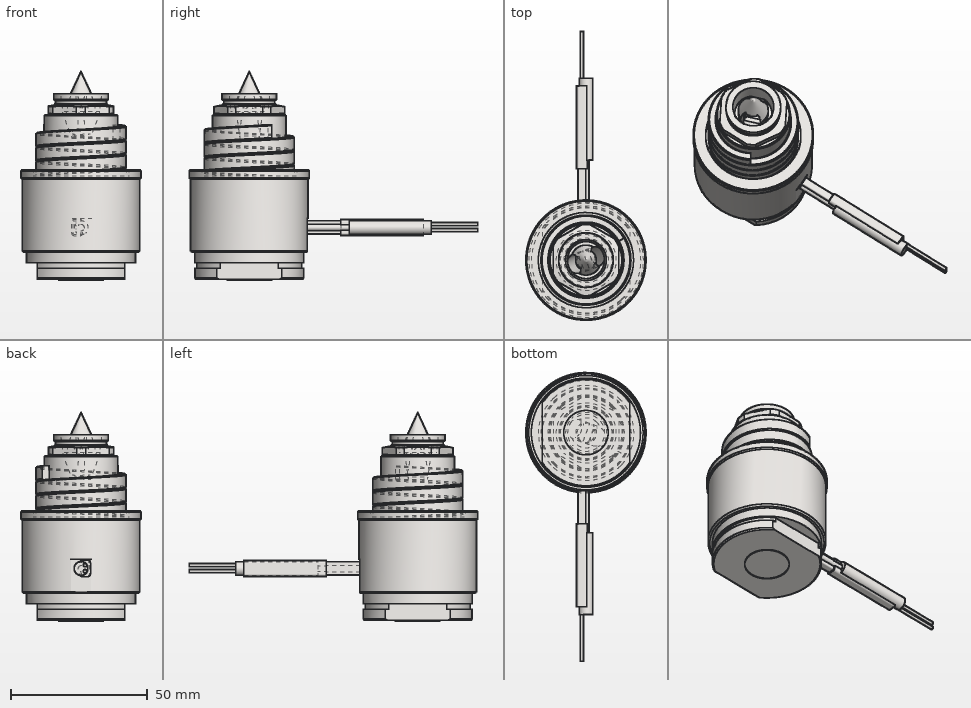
import cadquery as cq
import math

pad_radius = 8.1
pad_height = 0.3
collar_radius = 19.9
neck_radius = 19.2
ring_top = 4.4
neck_top = 6.3
key_half_width = 16.0
ring_chamfer = 0.5

body_radius = 21.5
body_bottom = 10.2
body_top = 36.9
body_chamfer = 0.6
flange_diameter = 44.0
flange_radius = flange_diameter / 2
flange_underside = 37.5
flange_top = 40.3
flange_chamfer = 0.4
recess_radius = 17.4
recess_depth = 2.1
cable_flat_y = 21.2
cable_flat_top = 22.6

coil_radius = 16.5
coil_pitch = 5.2
coil_bevel = 0.4
coil_end_angle = 30.0
coil_end_height = 51.7
groove_turns = 3
cutter_margin = 1.1

core_radius = 13.5
core_top = 60.5
core_chamfer = 0.4
hex_neck_radius = 11.0
hex_bottom = 60.9
hex_top = 63.4
hex_sides = 6
hex_across_flats = 24.0
hex_corner_radius = 13.0
hex_shoulder_radius = 9.8
hex_shoulder_top = 64.0
cap_neck_radius = 9.4
cap_neck_bottom = 64.6
cap_neck_top = 65.6
cap_radius = 10.0
cap_bottom = 66.0
cap_top = 68.2
tip_height = 76.3
tip_base_radius = 5.5
tip_base_height = 64.6
bore_mouth_radius = 7.5
bore_floor_radius = 6.8
bore_floor_height = 61.7
outlet_radius = 3.7
outlet_offset = 4.4
outlet_tilt = 22.0
outlet_depth = 12.7
outlet_angles = (20.0, 200.0)

lead_height = 19.3
wall = 0.5
flat_cable_x = -1.5
flat_cable_width = 3.0
flat_cable_height = 5.0
flat_sleeve_start = 33.3
flat_sleeve_end = 63.6
round_cable_radius = 1.2
round_sleeve_radius = 2.5
round_sleeve_start = 36.5
round_sleeve_end = 66.5
wire_radius = 0.6
wire_spacing = 2.2
wire_height = 19.4
overall_length = 105.5
wire_end = overall_length - flange_radius
lead_root = 15.8


def revolve(points):
    """Turn a closed (radius, height) outline about the Z axis."""
    return cq.Workplane("XZ").polyline(points).close().revolve(360, (0, 0, 0), (0, 1, 0))


def cylinder(radius, bottom, top):
    return cq.Workplane("XY").workplane(offset=bottom).circle(radius).extrude(top - bottom)


def rod_along_y(radius, x, z, start, end):
    return cq.Workplane("XZ", origin=(x, start, z)).circle(radius).extrude(start - end)


def bar_along_y(width, height, corner, x, z, start, end):
    bar = cq.Workplane("XZ", origin=(x, start, z)).rect(width, height).extrude(start - end)
    return bar.edges("|Y").fillet(corner)


def helical_sweep(section, turns, base_height):
    """Sweep a (radius, height) section up the coil helix, ending at the coil end angle."""
    helix = cq.Wire.makeHelix(coil_pitch, turns * coil_pitch, coil_radius)
    profile = cq.Workplane("XZ").polyline(section).close()
    solid = profile.sweep(cq.Workplane(obj=helix), isFrenet=True)
    return solid.rotate((0, 0, 0), (0, 0, 1), coil_end_angle).translate((0, 0, base_height))


def make_base():
    keyed = revolve([
        (0, pad_height),
        (collar_radius - ring_chamfer, pad_height),
        (collar_radius, pad_height + ring_chamfer),
        (collar_radius, ring_top),
        (neck_radius, ring_top),
        (neck_radius, neck_top),
        (0, neck_top),
    ])
    slab = cq.Workplane("XY").box(2 * key_half_width, 2 * collar_radius, 2 * neck_top)
    pad = cylinder(pad_radius, 0, neck_top)
    collar = cylinder(collar_radius, neck_top, body_bottom)
    return keyed.intersect(slab).union(pad).union(collar)


def make_body():
    body = revolve([
        (0, body_bottom),
        (body_radius - body_chamfer, body_bottom),
        (body_radius, body_bottom + body_chamfer),
        (body_radius, body_top),
        (flange_radius, flange_underside),
        (flange_radius, flange_top - flange_chamfer),
        (flange_radius - flange_chamfer, flange_top),
        (recess_radius, flange_top),
        (recess_radius, flange_top - recess_depth),
        (0, flange_top - recess_depth),
    ])
    flat_depth = body_radius - cable_flat_y
    flat_height = cable_flat_top - body_bottom
    flat_cut = (
        cq.Workplane("XY")
        .box(2 * body_radius, flat_depth, flat_height, centered=(True, False, False))
        .translate((0, cable_flat_y, body_bottom))
    )
    return body.cut(flat_cut)


def make_coil():
    coil = cylinder(coil_radius, flange_top - recess_depth, coil_end_height + coil_pitch)
    inner = core_radius - cutter_margin
    outer = coil_radius + cutter_margin
    bevel_drop = coil_bevel + cutter_margin
    above_last_turn = helical_sweep(
        [
            (inner, -bevel_drop),
            (core_radius + coil_bevel, 0),
            (coil_radius - coil_bevel, 0),
            (outer, -bevel_drop),
            (outer, coil_pitch),
            (inner, coil_pitch),
        ],
        1,
        coil_end_height,
    )
    groove = helical_sweep(
        [
            (coil_radius - coil_bevel, 0),
            (outer, -bevel_drop),
            (outer, bevel_drop),
        ],
        groove_turns,
        coil_end_height - groove_turns * coil_pitch,
    )
    return coil.cut(above_last_turn).cut(groove)


def make_core():
    """Core, neck and cap with the bore around the pointed tip, plus the hexagon."""
    core = revolve([
        (0, body_top),
        (core_radius, body_top),
        (core_radius, core_top - core_chamfer),
        (core_radius - core_chamfer, core_top),
        (hex_neck_radius, core_top),
        (hex_neck_radius, hex_bottom),
        (hex_shoulder_radius, hex_bottom),
        (hex_shoulder_radius, hex_shoulder_top),
        (cap_neck_radius, cap_neck_bottom),
        (cap_neck_radius, cap_neck_top),
        (cap_radius, cap_bottom),
        (cap_radius, cap_top),
        (bore_mouth_radius, cap_top),
        (bore_floor_radius, bore_floor_height),
        (tip_base_radius, bore_floor_height),
        (tip_base_radius, tip_base_height),
        (0, tip_height),
    ])
    hex_diameter = hex_across_flats / math.cos(math.pi / hex_sides)
    hexagon = (
        cq.Workplane("XY")
        .workplane(offset=hex_bottom)
        .polygon(hex_sides, hex_diameter)
        .extrude(hex_shoulder_top - hex_bottom)
        .rotate((0, 0, 0), (0, 0, 1), 180 / hex_sides)
    )
    turned_blank = revolve([
        (hex_shoulder_radius, hex_bottom),
        (hex_corner_radius, hex_bottom),
        (hex_corner_radius, hex_top),
        (hex_shoulder_radius, hex_shoulder_top),
    ])
    return core.union(hexagon.intersect(turned_blank))


def make_outlets():
    """Two inclined channels that rise from below the tip and open on its sides."""
    outlet = (
        cq.Workplane("XY")
        .circle(outlet_radius)
        .extrude(2 * outlet_depth)
        .translate((0, 0, -outlet_depth))
        .rotate((0, 0, 0), (0, 1, 0), outlet_tilt)
        .translate((outlet_offset, 0, tip_base_height))
    )
    inside = cylinder(bore_floor_radius, tip_base_height - outlet_depth, cap_top)
    outlet = outlet.intersect(inside)
    outlets = cq.Workplane("XY")
    for angle in outlet_angles:
        outlets = outlets.union(outlet.rotate((0, 0, 0), (0, 0, 1), angle))
    return outlets


def make_leads():
    flat_cable = bar_along_y(
        flat_cable_width, flat_cable_height, wall,
        flat_cable_x, lead_height, lead_root, flat_sleeve_end,
    )
    flat_sleeve = bar_along_y(
        flat_cable_width + 2 * wall, flat_cable_height + 2 * wall, 2 * wall,
        flat_cable_x, lead_height, flat_sleeve_start, flat_sleeve_end,
    )
    round_cable = rod_along_y(round_cable_radius, 0, lead_height, lead_root, round_sleeve_end)
    round_sleeve = rod_along_y(
        round_sleeve_radius, 0, lead_height, round_sleeve_start, round_sleeve_end
    )
    leads = flat_cable.union(flat_sleeve).union(round_cable).union(round_sleeve)
    for side in (-1, 1):
        wire_z = wire_height + side * wire_spacing / 2
        leads = leads.union(
            rod_along_y(wire_radius, flat_cable_x, wire_z, round_sleeve_end, wire_end)
        )
    return leads


result = (
    make_base()
    .union(make_body())
    .union(make_coil())
    .union(make_core())
    .cut(make_outlets())
    .union(make_leads())
)